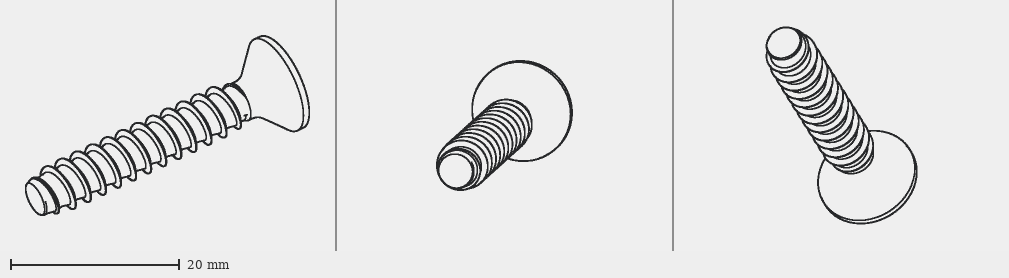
import cadquery as cq
import math


overall_length = 35.0
head_radius = 12.0 / 2
rim_height = 0.85
countersink_angle = 45.0
neck_fillet = 2.38
shank_radius = 2.4
shank_end = 5.95
shank_taper = 0.52

core_radius = 2.17
tip_radius = 2.05
tip_cone_angle = 24.0
tip_dish = 0.15

crest_radius = 3.05
crest_width = 0.1
first_depth = 5.55
last_depth = 34.48
total_turns = 13.5
fade_turns = 1.25
tip_end_angle = 180.0

recess_offset = -0.8
recess_radius = 4.3 / 2
flank_break_offset = -0.45
flank_break_radius = 4.5 / 2
flank_foot_offset = 0.28
flank_foot_radius = 4.65 / 2
land_end_offset = 1.3
buried_radius = 2.0
buried_inset = 0.05

faded_crest_radius = 2.35
faded_break_offset = -0.18
faded_break_radius = 4.6 / 2
faded_foot_offset = 0.1

pitch = (last_depth - first_depth) / total_turns


def make_body():
    """Head, neck, shank and core turned about the axis, without thread or tip shape."""
    angle = math.radians(countersink_angle)
    arc_centre_radius = shank_radius + neck_fillet
    neck_radius = arc_centre_radius - neck_fillet * math.cos(angle)
    neck_start = rim_height + (head_radius - neck_radius) / math.tan(angle)
    neck_end = neck_start + neck_fillet * math.sin(angle)
    arc_mid_radius = arc_centre_radius - neck_fillet * math.cos(angle / 2)
    arc_mid_depth = neck_end - neck_fillet * math.sin(angle / 2)
    return (
        cq.Workplane("XY")
        .moveTo(0, 0)
        .lineTo(head_radius, 0)
        .lineTo(head_radius, -rim_height)
        .lineTo(neck_radius, -neck_start)
        .threePointArc((arc_mid_radius, -arc_mid_depth), (shank_radius, -neck_end))
        .lineTo(shank_radius, -shank_end)
        .lineTo(core_radius, -shank_end - shank_taper)
        .lineTo(core_radius, -overall_length)
        .lineTo(0, -overall_length)
        .close()
        .revolve(360, (0, 0, 0), (0, 1, 0))
    )


def thread_section(crest, break_offset, break_radius, foot_offset):
    """Closed thread section as (offset toward the tip, radius) corners."""
    return [
        (recess_offset + buried_inset, buried_radius),
        (recess_offset, recess_radius),
        (break_offset, break_radius),
        (-crest_width / 2, crest),
        (crest_width / 2, crest),
        (foot_offset, flank_foot_radius),
        (land_end_offset, recess_radius),
        (land_end_offset - buried_inset, buried_radius),
    ]


def helix_edge(start_radius, end_radius, rise, turns):
    """Helix about Z from height 0; its radius changes evenly along the rise."""
    if start_radius == end_radius:
        return cq.Wire.makeHelix(rise / turns, rise, start_radius)
    cone_angle = math.atan2(end_radius - start_radius, rise)
    slant = rise / math.cos(cone_angle)
    return cq.Wire.makeHelix(slant / turns, slant, start_radius, angle=math.degrees(cone_angle))


def thread_stretch(start_section, end_section, start_turn, turns):
    """Solid stretch of thread along Y, starting start_turn turns above the tip end."""
    start_height = start_turn * pitch - last_depth
    start_angle = tip_end_angle + 360 * start_turn
    edges = []
    for (start_offset, start_radius), (end_offset, end_radius) in zip(start_section, end_section):
        rise = turns * pitch + start_offset - end_offset
        helix = helix_edge(start_radius, end_radius, rise, turns)
        helix = helix.rotate(cq.Vector(0, 0, 0), cq.Vector(0, 0, 1), start_angle)
        helix = helix.translate(cq.Vector(0, 0, start_height - start_offset))
        edges.append(helix.Edges()[0])
    faces = [
        cq.Face.makeRuledSurface(edge, following)
        for edge, following in zip(edges, edges[1:] + edges[:1])
    ]
    for corners in (
        [edge.startPoint() for edge in edges],
        [edge.endPoint() for edge in edges],
    ):
        faces.append(cq.Face.makeFromWires(cq.Wire.makePolygon(corners, close=True)))
    solid = cq.Solid.makeSolid(cq.Shell.makeShell(faces))
    return cq.Workplane(solid).rotate((0, 0, 0), (1, 0, 0), -90)


def make_shank_zone():
    """Cylinder from the shank end to the head face, where the thread must not reach."""
    return (
        cq.Workplane("XZ", origin=(0, -shank_end, 0))
        .circle(head_radius)
        .extrude(-shank_end)
    )


def make_tip_cutter():
    """Turned cutter that leaves the tip cone and the hollow tip face."""
    cone_length = (head_radius - tip_radius) / math.tan(math.radians(tip_cone_angle))
    cutter_end = overall_length + pitch
    return (
        cq.Workplane("XY")
        .moveTo(0, -overall_length + tip_dish)
        .lineTo(tip_radius, -overall_length)
        .lineTo(head_radius, -overall_length + cone_length)
        .lineTo(head_radius, -cutter_end)
        .lineTo(0, -cutter_end)
        .close()
        .revolve(360, (0, 0, 0), (0, 1, 0))
    )


full_section = thread_section(
    crest_radius, flank_break_offset, flank_break_radius, flank_foot_offset
)
faded_section = thread_section(
    faded_crest_radius, faded_break_offset, faded_break_radius, faded_foot_offset
)
full_turns = total_turns - 2 * fade_turns

run_out = thread_stretch(faded_section, full_section, 0, fade_turns)
full_thread = thread_stretch(full_section, full_section, fade_turns, full_turns)
run_in = thread_stretch(full_section, faded_section, fade_turns + full_turns, fade_turns)

run_in = run_in.cut(make_shank_zone())
screw = make_body().union(full_thread).union(run_in).union(run_out)
result = screw.cut(make_tip_cutter()).solids()